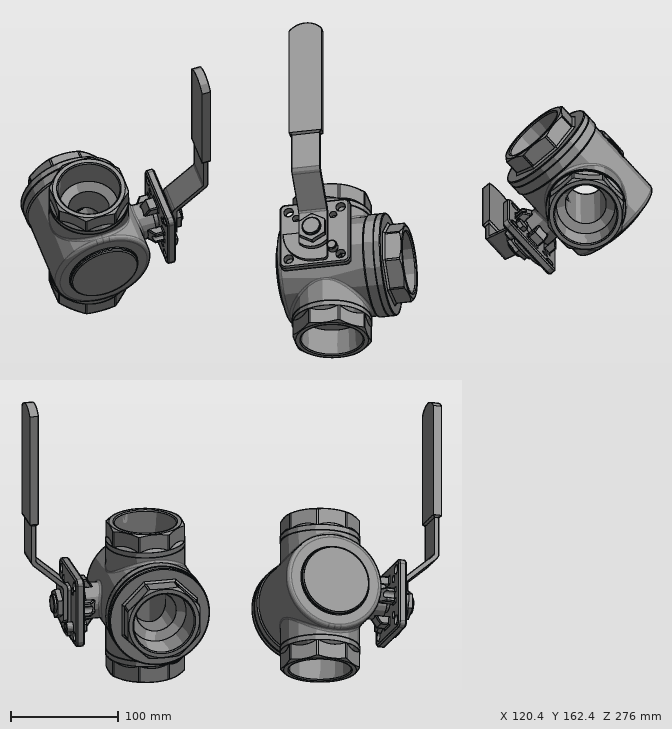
import cadquery as cq
import math


barrel_radius = 46.5
barrel_end = 42.8
barrel_end_fillet = 4.0
flange_radius = 48.0
flange_outer = 56.5
flange_inner = 40.8
flange_joint = 50.0
flange_edge_chamfer = 0.8
boss_radius = 32.8
boss_end = 46.4
boss_chamfer = 1.0
boss_root = 0.8

port_face = 74.0
pipe_radius = 37.0
pipe_fillet = 2.5
collar_radius = 37.3
collar_top = 56.8
collar_joint = 51.5
joint_groove = 0.5
nut_half_flat = 34.5
nut_corner_radius = 37.0
nut_face_radius = 34.0
nut_bevel_angle = 30
nut_root_radius = 33.7
nut_root_height = 4.1
side_nut_root = 2.0
thread_chamfer_radius = 30.0
thread_mouth_radius = 29.0
thread_end_radius = 27.3
thread_depth = 25.7
bore_radius = 19.0
drill_tip_angle = 30

neck_radius = 16.8
neck_top = 60.7
neck_fillet = 2.2
pad_side = 66.8
pad_bottom = 66.2
pad_top = 74.2
pad_corner = 5.2
pad_chamfer = 1.5
small_hole_place = 17.7
small_hole_diameter = 6.5
large_hole_place = 24.8
large_hole_diameter = 8.8
leg_inner = 16.0
leg_outer = 23.7
leg_end = 52.2
leg_slope_start = 57.7
leg_width = 13.8
leg_chamfer = 1.0
leg_foot = 1.0
leg_groove_radius = 3.3
leg_groove_end = 55.2

pin_radius = 4.7
pin_top = 81.0
pin_chamfer = 0.8
pin_nut_radius = 6.3
pin_nut_bottom = 61.8
stop_half_width = 12.7
stop_top = 20.1
stop_corner = 3.5
stop_reach = 29.5
stem_radius = 8.8
stem_end = 89.7
stem_chamfer = 0.8
stem_nut_radius = 14.0
stem_nut_height = 5.0

lever_bottom = 77.5
lever_thickness = 4.5
lever_width = 26.8
lever_hub_radius = 18.2
lever_offset = 30.5
lower_bend_height = 20.5
upper_bend_height = 47.5
bend_radius = 2.8
lever_tip = 193.2
grip_width = 31.0
grip_thickness = 8.3
grip_bottom = 85.0
grip_shoulder = 194.8
grip_tip = 202.0
grip_chamfer = 2.0

lever_top = lever_bottom + lever_thickness
grip_center = lever_bottom + lever_thickness / 2 + lever_offset


def disc(radius, y_start, y_end, x=0, z=0):
    """Cylinder along +Y between two heights."""
    plane = cq.Workplane("XZ", origin=(x, y_start, z))
    return plane.circle(radius).extrude(y_start - y_end)


def hexagon(radius, y_start, y_end, x=0, z=0):
    """Hexagonal prism along +Y with two corners on the Z direction."""
    plane = cq.Workplane("XZ", origin=(x, y_start, z))
    return plane.transformed(rotate=(0, 0, 90)).polygon(6, 2 * radius).extrude(y_start - y_end)


def revolved(profile):
    """Solid of revolution about Z from (radius, height) points."""
    return cq.Workplane("XZ").polyline(profile).close().revolve(360, (0, 0, 0), (0, 1, 0))


def octagon(half_flat, base):
    """Octagon sketch with flats facing X and Y."""
    half_side_angle = 180 / 8
    across_corners = 2 * half_flat / math.cos(math.radians(half_side_angle))
    plane = cq.Workplane("XY", origin=(0, 0, base))
    return plane.transformed(rotate=(0, 0, half_side_angle)).polygon(8, across_corners)


def port_nut(base, face):
    """Octagonal end with rounded corners and a conical bevel at its face."""
    bevel_depth = (nut_corner_radius - nut_face_radius) * math.tan(math.radians(nut_bevel_angle))
    envelope = revolved([
        (0, base), (nut_corner_radius, base), (nut_corner_radius, face - bevel_depth),
        (nut_face_radius, face), (0, face),
    ])
    return octagon(nut_half_flat, base).extrude(face - base).intersect(envelope)


def port_bore(face):
    """Tapered thread bore with a mouth chamfer and a drill-tip cone, then a passage to the centre."""
    mouth_chamfer = thread_chamfer_radius - thread_mouth_radius
    thread_end = face - thread_depth
    tip_end = thread_end - (thread_end_radius - bore_radius) * math.tan(math.radians(drill_tip_angle))
    return revolved([
        (0, 0), (bore_radius, 0), (bore_radius, tip_end), (thread_end_radius, thread_end),
        (thread_mouth_radius, face - mouth_chamfer), (thread_chamfer_radius, face), (0, face),
    ])


def ring_groove(radius, height):
    """Cutter for the narrow joint groove around Z."""
    inner = radius - joint_groove
    plane = cq.Workplane("XY", origin=(0, 0, height - joint_groove / 2))
    return plane.circle(radius + joint_groove).circle(inner).extrude(joint_groove)


def toward_side(shape):
    """Turn a shape built along +Z to point along -X."""
    return shape.rotate((0, 0, 0), (0, 1, 0), -90)


def centered_box(half_x, half_y, half_z):
    """Selector for what has its centre inside a box around the origin."""
    return cq.selectors.BoxSelector((-half_x, -half_y, -half_z), (half_x, half_y, half_z))


def make_shell():
    """Barrel, crossing pipe and neck with their blended joints."""
    barrel = toward_side(revolved([
        (0, -barrel_end), (barrel_radius, -barrel_end), (barrel_radius, flange_inner), (0, flange_inner),
    ]))
    pipe = cq.Workplane("XY").circle(pipe_radius).extrude(collar_joint, both=True)
    shell = barrel.union(pipe)
    pipe_zone = centered_box(pipe_radius, pipe_radius, barrel_radius)
    shell = shell.edges(pipe_zone).fillet(pipe_fillet)
    shell = shell.union(disc(neck_radius, 0, neck_top))
    neck_zone = centered_box(neck_radius, barrel_radius, neck_radius)
    shell = shell.edges(neck_zone).fillet(neck_fillet)
    return shell.faces(">X").edges().fillet(barrel_end_fillet)


def make_upright_port():
    """Collar with a conical root and octagonal end on the +Z side."""
    root_top = collar_top + nut_root_height
    collar = revolved([
        (0, collar_joint), (collar_radius, collar_joint), (collar_radius, collar_top),
        (nut_corner_radius, collar_top), (nut_root_radius, root_top), (0, root_top),
    ])
    return collar.union(port_nut(collar_top, port_face)).cut(ring_groove(collar_radius, collar_joint))


def make_side_port():
    """Flange with an octagonal end, pointing along -X."""
    step = flange_radius - barrel_radius
    flange = revolved([
        (0, flange_inner - step), (barrel_radius, flange_inner - step), (flange_radius, flange_inner),
        (flange_radius, flange_outer - flange_edge_chamfer),
        (flange_radius - flange_edge_chamfer, flange_outer), (0, flange_outer),
    ])
    root = octagon(nut_half_flat + side_nut_root, flange_outer).extrude(side_nut_root, taper=45)
    port = flange.union(root).union(port_nut(flange_outer, port_face))
    return toward_side(port.cut(ring_groove(flange_radius, flange_joint)))


def make_boss():
    """Low round boss on the closed +X end, flared at its root."""
    boss = revolved([
        (0, barrel_end), (boss_radius + boss_root, barrel_end), (boss_radius, barrel_end + boss_root),
        (boss_radius, boss_end - boss_chamfer), (boss_radius - boss_chamfer, boss_end), (0, boss_end),
    ])
    return boss.rotate((0, 0, 0), (0, 1, 0), 90)


def make_pad():
    """Square mounting pad with two hole circles."""
    pad = cq.Workplane("XZ", origin=(0, pad_bottom, 0)).rect(pad_side, pad_side)
    pad = pad.extrude(pad_bottom - pad_top).edges("|Y").fillet(pad_corner)
    pad = pad.faces("<Y or >Y").edges().chamfer(pad_chamfer)
    for place, diameter in (
        (small_hole_place, small_hole_diameter),
        (large_hole_place, large_hole_diameter),
    ):
        for side in (-1, 1):
            for level in (-1, 1):
                pad = pad.cut(disc(diameter / 2, pad_bottom, pad_top, side * place, level * place))
    return pad


def make_leg():
    """Leg on the +X side joining the pad to the neck, with a flared foot and a sloped end."""
    outline = [
        (leg_inner, pad_bottom), (leg_outer, pad_bottom), (leg_outer, leg_slope_start),
        (leg_inner, leg_end),
    ]
    leg = cq.Workplane("XY").polyline(outline).close().extrude(leg_width / 2, both=True)
    for side in (">Z", "<Z"):
        leg = leg.faces(side).edges(">X or <Y").chamfer(leg_chamfer)
    foot_length = leg_outer + leg_foot - leg_inner
    foot = cq.Workplane("XZ", origin=(leg_inner + foot_length / 2, pad_bottom, 0))
    foot = foot.rect(foot_length, leg_width + 2 * leg_foot).extrude(leg_foot, taper=45)
    return leg.union(foot)


def make_stop():
    """Stop plate under the lever: hub, upright arm beside the pin and a quarter sector."""
    thickness = lever_bottom - pad_top
    corner_plane = cq.Workplane("XZ", origin=(0, pad_top, -stop_reach))
    arm = corner_plane.center(-stop_half_width, 0)
    arm = arm.rect(stop_half_width, stop_reach + stop_top, centered=False).extrude(-thickness)
    arm = arm.faces("<X").edges("|Y").fillet(stop_corner)
    quarter = corner_plane.rect(stop_reach, stop_reach, centered=False).extrude(-thickness)
    sector = disc(stop_reach, pad_top, lever_bottom).intersect(quarter)
    return disc(stop_half_width, pad_top, lever_bottom).union(arm).union(sector)


def make_pin():
    """Stop pin through the pad with its hexagonal nut."""
    x = -small_hole_place
    z = -small_hole_place
    pin = disc(pin_radius, pad_bottom, pin_top, x, z).faces(">Y").edges().chamfer(pin_chamfer)
    return pin.union(hexagon(pin_nut_radius, pin_nut_bottom, pad_bottom, x, z))


def make_stem():
    """Stem from the neck to its end, with the nut above the lever."""
    stem = disc(stem_radius, neck_top, stem_end).faces(">Y").edges().chamfer(stem_chamfer)
    return stem.union(hexagon(stem_nut_radius, lever_top, lever_top + stem_nut_height))


def make_valve():
    upright = make_upright_port()
    valve = make_shell().union(upright).union(upright.mirror("XY")).union(make_side_port())
    valve = valve.union(make_boss())
    bore = port_bore(port_face)
    valve = valve.cut(bore).cut(bore.mirror("XY")).cut(toward_side(bore))
    valve = valve.union(make_pad())
    for quarter_turn in range(4):
        valve = valve.union(make_leg().rotate((0, 0, 0), (0, 1, 0), 90 * quarter_turn))
    for side in (-1, 1):
        valve = valve.cut(disc(leg_groove_radius, leg_groove_end, pad_bottom, side * leg_outer))
    return valve.union(make_stop()).union(make_pin()).union(make_stem())


def make_lever():
    """Flat bar with two bends and a rounded hub end."""
    slope = math.atan2(lever_offset, upper_bend_height - lower_bend_height)
    miter = lever_thickness * math.tan(slope / 2)
    upper_bottom = lever_bottom + lever_offset
    upper_top = lever_top + lever_offset
    lower_outside = (lever_bottom, lower_bend_height + miter / 2)
    lower_inside = (lever_top, lower_bend_height - miter / 2)
    upper_inside = (upper_bottom, upper_bend_height + miter / 2)
    upper_outside = (upper_top, upper_bend_height - miter / 2)
    outline = [
        (lever_bottom, -lever_hub_radius), lower_outside, upper_inside, (upper_bottom, lever_tip),
        (upper_top, lever_tip), upper_outside, lower_inside, (lever_top, -lever_hub_radius),
    ]
    bar = cq.Workplane("YZ").polyline(outline).close().extrude(lever_width / 2, both=True)
    for corner, radius in (
        (lower_inside, bend_radius),
        (upper_inside, bend_radius),
        (lower_outside, bend_radius + lever_thickness),
        (upper_outside, bend_radius + lever_thickness),
    ):
        bar = bar.edges(cq.selectors.NearestToPointSelector((0, *corner))).fillet(radius)
    hub = disc(lever_hub_radius, lever_bottom, lever_top)
    upper = cq.Workplane("XY").center(0, upper_top / 2).rect(lever_width, upper_top).extrude(lever_tip)
    return bar.intersect(hub.union(upper)).cut(disc(stem_radius, lever_bottom, lever_top))


def make_grip(lever):
    """Sleeve with a rounded tip, pushed over the lever."""
    half = grip_width / 2
    front = grip_center - grip_thickness / 2
    grip = cq.Workplane("XZ", origin=(0, front, 0)).moveTo(-half, grip_bottom)
    grip = grip.lineTo(half, grip_bottom).lineTo(half, grip_shoulder)
    grip = grip.threePointArc((0, grip_tip), (-half, grip_shoulder)).close().extrude(-grip_thickness)
    return grip.faces("<Z").edges().chamfer(grip_chamfer).cut(lever)


valve = make_valve().solids()
lever = make_lever().solids()
grip = make_grip(lever).solids()
result = cq.Compound.makeCompound([valve.val(), lever.val(), grip.val()])